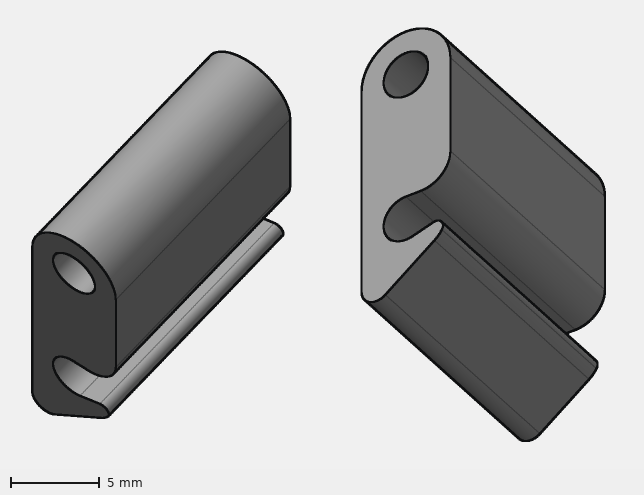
import cadquery as cq
import math

HEIGHT = 18.0
LENGTH = 16.0
WIDTH = 6.0
HOLE_DIAMETER = 3.0
SLOT_DROP = 10.0
CORNER_RADIUS = 2.0
HEEL_RADIUS = 1.0
TIP_RADIUS = 0.5
TIP_BLEND_RADIUS = 2.0
TIP_CENTER = (2.0, -11.5)
RAMP_ANGLE = 36.9

half_width = WIDTH / 2
slot_radius = HOLE_DIAMETER / 2
slot_center = (0, -SLOT_DROP)
slot_top = slot_radius - SLOT_DROP
heel_center = (HEEL_RADIUS - half_width, half_width - HEIGHT + HEEL_RADIUS)


def on_circle(center, radius, degrees):
    """Point on a circle, measured counterclockwise from +X."""
    angle = math.radians(degrees)
    return (center[0] + radius * math.cos(angle), center[1] + radius * math.sin(angle))


def find_tip_blend_center():
    """Center of the arc touching the ramp and enclosing the tip circle tangentially."""
    ramp = math.radians(RAMP_ANGLE)
    along = (math.cos(ramp), math.sin(ramp))
    outward = (math.sin(ramp), -math.cos(ramp))
    heel_to_tip = (TIP_CENTER[0] - heel_center[0], TIP_CENTER[1] - heel_center[1])
    tip_offset = heel_to_tip[0] * outward[0] + heel_to_tip[1] * outward[1]
    inward_shift = HEEL_RADIUS - TIP_BLEND_RADIUS - tip_offset
    backward_shift = math.sqrt((TIP_BLEND_RADIUS - TIP_RADIUS) ** 2 - inward_shift ** 2)
    return (
        TIP_CENTER[0] + inward_shift * outward[0] - backward_shift * along[0],
        TIP_CENTER[1] + inward_shift * outward[1] - backward_shift * along[1],
    )


def find_slot_floor_angle():
    """Slope in degrees of the line tangent to the slot bottom and the tip top."""
    across = TIP_CENTER[0] - slot_center[0]
    down = slot_center[1] - TIP_CENTER[1]
    spacing = math.hypot(across, down)
    lean = math.acos((slot_radius + TIP_RADIUS) / spacing)
    return math.degrees(math.atan2(across, down) - lean)


ramp_normal = RAMP_ANGLE - 90
slot_floor_angle = find_slot_floor_angle()
slot_floor_normal = slot_floor_angle - 90
tip_top_normal = slot_floor_angle + 90
blend_center = find_tip_blend_center()
blend_end_normal = math.degrees(
    math.atan2(TIP_CENTER[1] - blend_center[1], TIP_CENTER[0] - blend_center[0])
)
heel_mid_normal = (ramp_normal - 180) / 2
blend_mid_normal = (ramp_normal + blend_end_normal) / 2
tip_mid_normal = (blend_end_normal + tip_top_normal) / 2
corner_center = (half_width - CORNER_RADIUS, slot_top + CORNER_RADIUS)

profile = (
    cq.Workplane("XZ")
    .moveTo(-half_width, 0)
    .threePointArc((0, half_width), (half_width, 0))
    .lineTo(half_width, corner_center[1])
    .threePointArc(on_circle(corner_center, CORNER_RADIUS, -45), (corner_center[0], slot_top))
    .lineTo(0, slot_top)
    .threePointArc((-slot_radius, -SLOT_DROP), on_circle(slot_center, slot_radius, slot_floor_normal))
    .lineTo(*on_circle(TIP_CENTER, TIP_RADIUS, tip_top_normal))
    .threePointArc(
        on_circle(TIP_CENTER, TIP_RADIUS, tip_mid_normal),
        on_circle(TIP_CENTER, TIP_RADIUS, blend_end_normal),
    )
    .threePointArc(
        on_circle(blend_center, TIP_BLEND_RADIUS, blend_mid_normal),
        on_circle(blend_center, TIP_BLEND_RADIUS, ramp_normal),
    )
    .lineTo(*on_circle(heel_center, HEEL_RADIUS, ramp_normal))
    .threePointArc(
        on_circle(heel_center, HEEL_RADIUS, heel_mid_normal),
        (-half_width, heel_center[1]),
    )
    .close()
)
body = profile.extrude(LENGTH / 2, both=True)

pivot_hole = cq.Workplane("XZ").circle(HOLE_DIAMETER / 2).extrude(LENGTH / 2, both=True)
result = body.cut(pivot_hole)